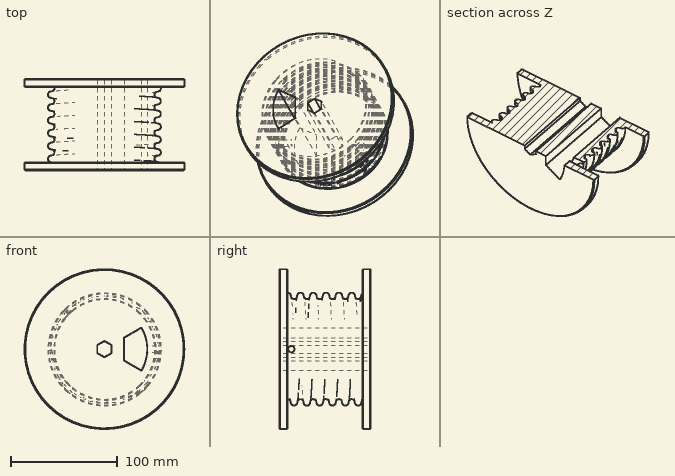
import cadquery as cq
import math

FLANGE_DIAMETER = 150.0
FLANGE_THICKNESS = 8.0
FLANGE_CHAMFER = 1.0
DRUM_LENGTH = 70.0
OVERALL_LENGTH = DRUM_LENGTH + 2 * FLANGE_THICKNESS

MEAN_RADIUS = 50.0
GROOVE_PITCH = 12.0
ROUND_RADIUS = GROOVE_PITCH / 4
GROOVE_POSITION_Y = -32.0
CURVE_STEPS = 40

HEX_ACROSS_FLATS = 13.0

WINDOW_INNER_X = 18.5
WINDOW_OUTER_RADIUS = 40.0
WINDOW_HALF_ANGLE = math.radians(30)

ROPE_HOLE_DIAMETER = 2 * ROUND_RADIUS
ROPE_HOLE_EDGE_GAP = 0.5


def half_wave(direction, start_angle):
    """Half of the drum's cross-section: a half-circle ridge (+1) or groove (-1) wrapped over 180 degrees."""

    def point(t):
        along_axis = -ROUND_RADIUS * math.cos(math.pi * t)
        radius = MEAN_RADIUS + direction * ROUND_RADIUS * math.sin(math.pi * t)
        turn = start_angle + 2 * math.pi * (along_axis + ROUND_RADIUS) / GROOVE_PITCH
        return cq.Vector(radius * math.cos(turn), radius * math.sin(turn), 0)

    return cq.Edge.makeSpline([point(i / CURVE_STEPS) for i in range(CURVE_STEPS + 1)])


def make_drum():
    """Drum whose cross-section turns steadily along its length, giving a helical groove of constant pitch."""
    ridge_start = -math.pi / 2
    outline = cq.Wire.assembleEdges([half_wave(1, ridge_start), half_wave(-1, ridge_start + math.pi)])
    twist = 360 * DRUM_LENGTH / GROOVE_PITCH
    drum = cq.Solid.extrudeLinearWithRotation(outline, [], cq.Vector(), cq.Vector(0, 0, DRUM_LENGTH), -twist)
    groove_offset = GROOVE_POSITION_Y + DRUM_LENGTH / 2
    start_turn = 180 + 360 * groove_offset / GROOVE_PITCH
    drum = drum.rotate(cq.Vector(), cq.Vector(0, 0, 1), start_turn)
    drum = drum.rotate(cq.Vector(), cq.Vector(1, 0, 0), -90)
    return cq.Workplane(obj=drum.translate(cq.Vector(0, -DRUM_LENGTH / 2, 0)))


def make_flange(outer_face_y):
    """Chamfered disc reaching from its outer face towards the drum."""
    depth = math.copysign(FLANGE_THICKNESS, outer_face_y)
    disc = cq.Workplane("XZ", origin=(0, outer_face_y, 0)).circle(FLANGE_DIAMETER / 2).extrude(depth)
    return disc.edges().chamfer(FLANGE_CHAMFER)


def end_face_plane():
    """XZ workplane on the +Y end face; extrusions from it run through the spool towards -Y."""
    return cq.Workplane("XZ", origin=(0, OVERALL_LENGTH / 2, 0))


def make_hex_bore():
    corner_diameter = HEX_ACROSS_FLATS / math.cos(math.pi / 6)
    return end_face_plane().transformed(rotate=(0, 0, 90)).polygon(6, corner_diameter).extrude(OVERALL_LENGTH)


def make_window():
    inner_z = WINDOW_INNER_X * math.tan(WINDOW_HALF_ANGLE)
    outer_x = WINDOW_OUTER_RADIUS * math.cos(WINDOW_HALF_ANGLE)
    outer_z = WINDOW_OUTER_RADIUS * math.sin(WINDOW_HALF_ANGLE)
    return (
        end_face_plane()
        .moveTo(WINDOW_INNER_X, -inner_z)
        .lineTo(outer_x, -outer_z)
        .threePointArc((WINDOW_OUTER_RADIUS, 0), (outer_x, outer_z))
        .lineTo(WINDOW_INNER_X, inner_z)
        .close()
        .extrude(OVERALL_LENGTH)
    )


def make_rope_hole():
    """Radial hole leading from the window out to the first groove on the +X side."""
    radius = ROPE_HOLE_DIAMETER / 2
    centre_y = -DRUM_LENGTH / 2 + ROPE_HOLE_EDGE_GAP + radius
    crest_radius = MEAN_RADIUS + ROUND_RADIUS
    start_x = (WINDOW_INNER_X + WINDOW_OUTER_RADIUS) / 2
    return (
        cq.Workplane("YZ", origin=(start_x, centre_y, 0))
        .circle(radius)
        .extrude(crest_radius - start_x)
    )


result = make_drum()
for outer_face_y in (-OVERALL_LENGTH / 2, OVERALL_LENGTH / 2):
    result = result.union(make_flange(outer_face_y))
result = result.cut(make_hex_bore()).cut(make_window()).cut(make_rope_hole())